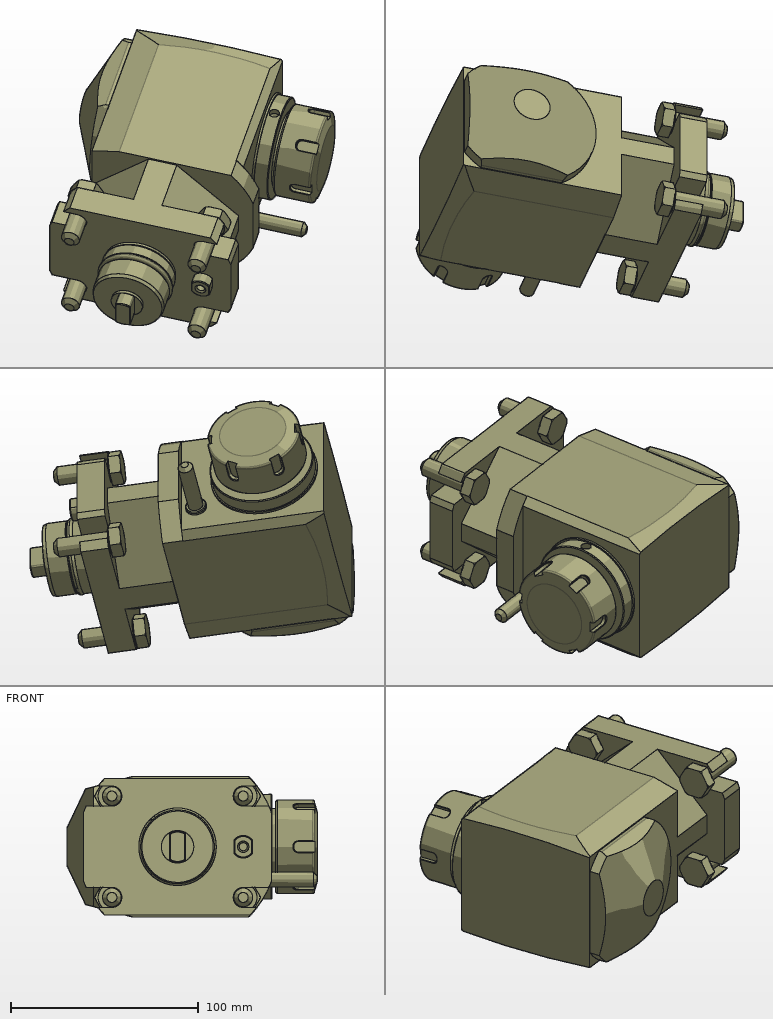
import cadquery as cq
import math


OVERALL_LENGTH = 166.5

OUTLINE_RADIUS = 53.3
PLATE_HALF_WIDTH = 50.1
PLATE_HALF_HEIGHT = 36.5
PLATE_THICKNESS = 15.0

NECK_LEFT = -39.0
NECK_RIGHT = 42.1
NECK_RIDGE_HALF_WIDTH = 7.8
NECK_SIDE_HALF_HEIGHT = 5.7

BLOCK_FRONT = 44.1
BLOCK_BACK = 132.2
BLOCK_LEFT = NECK_LEFT
BLOCK_RIGHT = 41.6
BLOCK_HALF_HEIGHT = 37.5
LEFT_BEVEL_WIDTH = 15.0
LEFT_BEVEL_DROP = 4.0
RIGHT_BEVEL_WIDTH = 4.0
RIGHT_BEVEL_DROP = 4.3
TAB_BACK = 55.1

BACK_SLOPE = 0.3
BACK_CONE_RADIUS = 526.1
BACK_CONE_START = 124.7
BACK_CONE_X = 6.7

SPINDLE_Y = 100.0
CAP_RADIUS = 40.0
CAP_TIP_RADIUS = 10.0
CAP_RIM_LEFT = -44.8
CAP_LEFT = -59.0
CAP_BACK = 131.5
CAP_FLAT_HALF_HEIGHT = 33.0

UNDERCUT_RADIUS = 28.8
UNDERCUT_RIGHT = 42.8
RING_RADIUS = 28.0
RING_RIGHT = 50.3
RING_CHAMFER = 0.5
SPANNER_HOLE_X = 46.1
SPANNER_HOLE_RADIUS = 2.7
SPANNER_HOLE_DEPTH = 3.3
NOSE_RADIUS = 20.5
NUT_LEFT = 52.1
NUT_RIGHT = 74.6
NUT_RADIUS = 25.0
NUT_REAR_CHAMFER = 1.0
NUT_FACE_RADIUS = 18.0
NUT_BEVEL_LENGTH = 2.0
NUT_RIM_FILLET = 1.0
NUT_SLOTS = 6
NUT_SLOT_WIDTH = 5.8
NUT_SLOT_CORNER = 2.5
NUT_SLOT_LEFT = 62.0
NUT_SLOT_FLARE_DEPTH = 0.5
NUT_SLOT_FLARE_ANGLE = 45
NUT_SLOT_FLOOR_RADIUS = 22.5

STOP_PIN_Y = 63.1
STOP_PIN_Z = -17.5
STOP_PIN_RADIUS = 4.0
STOP_PIN_RIGHT = 74.3
STOP_PIN_CHAMFER = 2.0
STOP_COLLAR_RADIUS = 5.7
STOP_COLLAR_RIGHT = 43.3
STOP_COLLAR_CHAMFER = 0.5

BOLT_X = 35.0
BOLT_Z = 27.0
BOLT_RADIUS = 5.0
BOLT_SLOT_RADIUS = 5.3
BOLT_TIP_Y = -15.2
BOLT_CHAMFER = 2.3
HEAD_ACROSS_FLATS = 16.2
HEAD_HEIGHT = 7.0
HEAD_CHAMFER = 0.7
WASHER_FACE_RADIUS = 7.3
WASHER_FACE_HEIGHT = 0.7

SHANK_RADIUS = 19.6
COLLAR_RADIUS = 20.1
COLLAR_CHAMFER_REAR_Y = -1.5
COLLAR_REAR_Y = -2.5
GROOVE_RADIUS = 18.6
GROOVE_REAR_Y = -8.2
GROOVE_FRONT_Y = -12.2
ORING_TUBE_RADIUS = 1.7
ORING_OUTER_RADIUS = 20.6
ORING_Y = GROOVE_REAR_Y - ORING_TUBE_RADIUS
SHANK_FRONT_Y = -24.8
SHANK_CHAMFER_LENGTH = 2.0
SHANK_CHAMFER_DEPTH = 0.7
SPIGOT_RADIUS = 8.7
SPIGOT_FRONT_Y = -26.5
TANG_FRONT_Y = BLOCK_BACK - OVERALL_LENGTH
TANG_HALF_WIDTH = 4.2
TANG_RADIUS = 8.3
TANG_FILLET = 1.0
TANG_CHAMFER = 0.5

COOLANT_X = BOLT_X
COOLANT_RADIUS = 6.0
COOLANT_HALF_WIDTH = 5.0
COOLANT_HEIGHT = 6.0
COOLANT_CHAMFER = 0.5
COOLANT_HOLE_RADIUS = 2.2
COOLANT_COUNTERSINK = 0.8


def box(x_range, y_range, z_range):
    """Box between the given limits along X, Y and Z."""
    limits = (x_range, y_range, z_range)
    sizes = [high - low for low, high in limits]
    corner = cq.Vector(*[low for low, high in limits])
    return cq.Workplane(cq.Solid.makeBox(*sizes, corner))


def rod_x(radius, x_range, y, z):
    """Cylinder along X."""
    left, right = x_range
    start = cq.Vector(left, y, z)
    return cq.Workplane(cq.Solid.makeCylinder(radius, right - left, start, cq.Vector(1, 0, 0)))


def rod_y(radius, y_range, x, z):
    """Cylinder along Y."""
    front, back = y_range
    start = cq.Vector(x, front, z)
    return cq.Workplane(cq.Solid.makeCylinder(radius, back - front, start, cq.Vector(0, 1, 0)))


def prism_y(points, y_range):
    """Prism along Y over an outline of (x, z) points."""
    front, back = y_range
    return cq.Workplane("XZ", origin=(0, front, 0)).polyline(points).close().extrude(front - back)


def plate():
    """Round-cornered mounting plate with four open bolt slots."""
    depth = (0, PLATE_THICKNESS)
    body = rod_y(OUTLINE_RADIUS, depth, 0, 0).intersect(
        box(
            (-PLATE_HALF_WIDTH, PLATE_HALF_WIDTH),
            depth,
            (-PLATE_HALF_HEIGHT, PLATE_HALF_HEIGHT),
        )
    )
    for side in (-1, 1):
        for z in (-BOLT_Z, BOLT_Z):
            x_range = sorted((side * BOLT_X, side * OUTLINE_RADIUS))
            body = body.cut(box(x_range, depth, (z - BOLT_SLOT_RADIUS, z + BOLT_SLOT_RADIUS)))
            body = body.cut(rod_y(BOLT_SLOT_RADIUS, depth, side * BOLT_X, z))
    return body


def neck():
    """Eight-sided neck with flat ridges at the top and bottom."""
    ridge = NECK_RIDGE_HALF_WIDTH
    top = PLATE_HALF_HEIGHT
    side = NECK_SIDE_HALF_HEIGHT
    outline = [
        (-ridge, top),
        (ridge, top),
        (NECK_RIGHT, side),
        (NECK_RIGHT, -side),
        (ridge, -top),
        (-ridge, -top),
        (NECK_LEFT, -side),
        (NECK_LEFT, side),
    ]
    return prism_y(outline, (PLATE_THICKNESS, BLOCK_FRONT))


def beveled_outline(left):
    """Points of the block outline, with the left bevels running on at their slope to the given x."""
    top = BLOCK_HALF_HEIGHT
    left_bevel_end = BLOCK_LEFT + LEFT_BEVEL_WIDTH
    left_height = top - (left_bevel_end - left) * LEFT_BEVEL_DROP / LEFT_BEVEL_WIDTH
    right_bevel_end = BLOCK_RIGHT - RIGHT_BEVEL_WIDTH
    right_height = top - RIGHT_BEVEL_DROP
    return [
        (left, -left_height),
        (left_bevel_end, -top),
        (right_bevel_end, -top),
        (BLOCK_RIGHT, -right_height),
        (BLOCK_RIGHT, right_height),
        (right_bevel_end, top),
        (left_bevel_end, top),
        (left, left_height),
    ]


def block():
    """Housing block with beveled sides and a sloped back."""
    body = prism_y(beveled_outline(BLOCK_LEFT), (BLOCK_FRONT, BLOCK_BACK))
    return body.intersect(back_cone(1)).intersect(back_cone(-1))


def tab():
    """Low tab at the block's front that reaches out to the plate's round outline."""
    depth = (BLOCK_FRONT, TAB_BACK)
    limits = box((0, PLATE_HALF_WIDTH), depth, (-BLOCK_HALF_HEIGHT, BLOCK_HALF_HEIGHT))
    return rod_y(OUTLINE_RADIUS, depth, 0, 0).intersect(limits)


def back_cone(side):
    """Wide cone along Y whose surface meets the block's flat face at the start of the back slope."""
    front_length = BACK_CONE_START - BLOCK_FRONT
    length = BLOCK_BACK - BLOCK_FRONT
    front_radius = BACK_CONE_RADIUS + front_length * BACK_SLOPE
    back_radius = front_radius - length * BACK_SLOPE
    z = side * (BLOCK_HALF_HEIGHT - BACK_CONE_RADIUS)
    start = cq.Vector(BACK_CONE_X, BLOCK_FRONT, z)
    return cq.Workplane(
        cq.Solid.makeCone(front_radius, back_radius, length, start, cq.Vector(0, 1, 0))
    )


def cap():
    """Conical cap, trimmed at the back and along the line of the block's bevels."""
    profile = [
        (CAP_LEFT, 0),
        (CAP_LEFT, CAP_TIP_RADIUS),
        (CAP_RIM_LEFT, CAP_RADIUS),
        (BLOCK_LEFT, CAP_RADIUS),
        (BLOCK_LEFT, 0),
    ]
    cone = (
        cq.Workplane("XY", origin=(0, SPINDLE_Y, 0))
        .polyline(profile)
        .close()
        .revolve(360, (0, 0, 0), (1, 0, 0))
    )
    depth = (SPINDLE_Y - CAP_RADIUS, CAP_BACK)
    flats = box((CAP_LEFT, BLOCK_LEFT), depth, (-CAP_FLAT_HALF_HEIGHT, CAP_FLAT_HALF_HEIGHT))
    bevels = prism_y(beveled_outline(CAP_LEFT), depth)
    return cone.intersect(flats).intersect(bevels)


def spindle_ring():
    """Threaded ring with its pointed spanner hole, and the spindle nose that carries the nut."""
    undercut = rod_x(UNDERCUT_RADIUS, (BLOCK_RIGHT, UNDERCUT_RIGHT), SPINDLE_Y, 0)
    ring = rod_x(RING_RADIUS, (UNDERCUT_RIGHT, RING_RIGHT), SPINDLE_Y, 0)
    ring = ring.faces(">X").chamfer(RING_CHAMFER)
    nose = rod_x(NOSE_RADIUS, (RING_RIGHT, NUT_LEFT), SPINDLE_Y, 0)
    hole_profile = [
        (0, RING_RADIUS),
        (SPANNER_HOLE_RADIUS, RING_RADIUS),
        (SPANNER_HOLE_RADIUS, RING_RADIUS - SPANNER_HOLE_DEPTH),
        (0, RING_RADIUS - SPANNER_HOLE_DEPTH - SPANNER_HOLE_RADIUS),
    ]
    hole = (
        cq.Workplane("XZ", origin=(SPANNER_HOLE_X, SPINDLE_Y, 0))
        .polyline(hole_profile)
        .close()
        .revolve(360, (0, 0, 0), (0, 1, 0))
    )
    return undercut.union(ring).union(nose).cut(hole)


def stop_pin():
    """Pin with a chamfered end and a collar at its root."""
    pin = rod_x(STOP_PIN_RADIUS, (BLOCK_RIGHT, STOP_PIN_RIGHT), STOP_PIN_Y, STOP_PIN_Z)
    pin = pin.faces(">X").chamfer(STOP_PIN_CHAMFER)
    collar = rod_x(STOP_COLLAR_RADIUS, (BLOCK_RIGHT, STOP_COLLAR_RIGHT), STOP_PIN_Y, STOP_PIN_Z)
    collar = collar.faces(">X").chamfer(STOP_COLLAR_CHAMFER)
    return pin.union(collar)


def bolt(x, z):
    """Hexagon bolt through the plate, with two corners of its head pointing along X."""
    shaft = rod_y(BOLT_RADIUS, (BOLT_TIP_Y, PLATE_THICKNESS), x, z).faces("<Y").chamfer(BOLT_CHAMFER)
    head_front = PLATE_THICKNESS + WASHER_FACE_HEIGHT
    head_back = PLATE_THICKNESS + HEAD_HEIGHT
    washer_face = rod_y(WASHER_FACE_RADIUS, (PLATE_THICKNESS, head_front), x, z)
    corner_radius = HEAD_ACROSS_FLATS / 2 / math.cos(math.pi / 6)
    head = (
        cq.Workplane("XZ", origin=(x, head_front, z))
        .polygon(6, 2 * corner_radius)
        .extrude(head_front - head_back)
    )
    crown = rod_y(corner_radius, (head_front, head_back), x, z).faces(">Y").chamfer(HEAD_CHAMFER)
    head = head.intersect(crown)
    return shaft.union(washer_face).union(head)


def shank():
    """Round shank with its collar, O-ring groove and spigot."""
    profile = [
        (0, 0),
        (SHANK_RADIUS, 0),
        (SHANK_RADIUS, COLLAR_CHAMFER_REAR_Y),
        (COLLAR_RADIUS, COLLAR_REAR_Y),
        (COLLAR_RADIUS, GROOVE_REAR_Y),
        (GROOVE_RADIUS, GROOVE_REAR_Y),
        (GROOVE_RADIUS, GROOVE_FRONT_Y),
        (SHANK_RADIUS, GROOVE_FRONT_Y),
        (SHANK_RADIUS, SHANK_FRONT_Y + SHANK_CHAMFER_LENGTH),
        (SHANK_RADIUS - SHANK_CHAMFER_DEPTH, SHANK_FRONT_Y),
        (SPIGOT_RADIUS, SHANK_FRONT_Y),
        (SPIGOT_RADIUS, SPIGOT_FRONT_Y),
        (0, SPIGOT_FRONT_Y),
    ]
    return cq.Workplane("XY").polyline(profile).close().revolve(360, (0, 0, 0), (0, 1, 0))


def oring():
    """O-ring that stands out of the shank's groove."""
    ring_radius = ORING_OUTER_RADIUS - ORING_TUBE_RADIUS
    center = cq.Vector(0, ORING_Y, 0)
    return cq.Workplane(cq.Solid.makeTorus(ring_radius, ORING_TUBE_RADIUS, center, cq.Vector(0, 1, 0)))


def tang():
    """Driving tang with two flat sides, round ends and rounded corners."""
    depth = (TANG_FRONT_Y, SPIGOT_FRONT_Y)
    flats = box((-TANG_HALF_WIDTH, TANG_HALF_WIDTH), depth, (-TANG_RADIUS, TANG_RADIUS))
    blade = rod_y(TANG_RADIUS, depth, 0, 0).intersect(flats)
    return blade.edges("|Y").edges("<X or >X").fillet(TANG_FILLET).faces("<Y").chamfer(TANG_CHAMFER)


def coolant_boss():
    """Round boss with two flat sides and a countersunk blind coolant hole."""
    depth = (-COOLANT_HEIGHT, 0)
    flats = box(
        (COOLANT_X - COOLANT_HALF_WIDTH, COOLANT_X + COOLANT_HALF_WIDTH),
        depth,
        (-COOLANT_RADIUS, COOLANT_RADIUS),
    )
    boss = rod_y(COOLANT_RADIUS, depth, COOLANT_X, 0).intersect(flats)
    boss = boss.faces("<Y").chamfer(COOLANT_CHAMFER)
    boss = boss.cut(rod_y(COOLANT_HOLE_RADIUS, depth, COOLANT_X, 0))
    rims = boss.faces("<Y").edges("%CIRCLE")
    return rims.edges(cq.selectors.RadiusNthSelector(0)).chamfer(COOLANT_COUNTERSINK)


def make_housing():
    """Housing with everything that is fixed to it."""
    body = plate().union(neck()).union(block()).union(tab()).union(cap())
    body = body.union(spindle_ring()).union(stop_pin())
    for x in (-BOLT_X, BOLT_X):
        for z in (-BOLT_Z, BOLT_Z):
            body = body.union(bolt(x, z))
    return body.union(shank()).union(oring()).union(tang()).union(coolant_boss())


def nut_slot(angle):
    """Cutter for one spanner slot with a flared mouth, turned about the spindle axis."""
    length = NUT_RIGHT - NUT_SLOT_LEFT
    outline = cq.Sketch().rect(2 * length, NUT_SLOT_WIDTH).vertices().fillet(NUT_SLOT_CORNER)
    flare_radius = NUT_RADIUS - NUT_SLOT_FLARE_DEPTH
    pocket = (
        cq.Workplane("XY", origin=(NUT_RIGHT, 0, NUT_SLOT_FLOOR_RADIUS))
        .placeSketch(outline)
        .extrude(flare_radius - NUT_SLOT_FLOOR_RADIUS)
    )
    flare = (
        cq.Workplane("XY", origin=(NUT_RIGHT, 0, flare_radius))
        .placeSketch(outline)
        .extrude(NUT_SLOT_FLARE_DEPTH, taper=-NUT_SLOT_FLARE_ANGLE)
    )
    cutter = pocket.union(flare)
    return cutter.rotate((0, 0, 0), (1, 0, 0), angle).translate((0, SPINDLE_Y, 0))


def make_collet_nut():
    """Collet nut with a beveled face and spanner slots around its rounded rim."""
    profile = [
        (NUT_LEFT, 0),
        (NUT_LEFT, NUT_RADIUS - NUT_REAR_CHAMFER),
        (NUT_LEFT + NUT_REAR_CHAMFER, NUT_RADIUS),
        (NUT_RIGHT - NUT_BEVEL_LENGTH, NUT_RADIUS),
        (NUT_RIGHT, NUT_FACE_RADIUS),
        (NUT_RIGHT, 0),
    ]
    nut = (
        cq.Workplane("XY", origin=(0, SPINDLE_Y, 0))
        .polyline(profile)
        .close()
        .revolve(360, (0, 0, 0), (1, 0, 0))
    )
    widest_circles = nut.edges("%CIRCLE").edges(cq.selectors.RadiusNthSelector(-1))
    nut = widest_circles.edges(">X").fillet(NUT_RIM_FILLET)
    pitch = 360 / NUT_SLOTS
    for index in range(NUT_SLOTS):
        nut = nut.cut(nut_slot((index + 0.5) * pitch))
    return nut


housing = make_housing()
collet_nut = make_collet_nut()
result = cq.Compound.makeCompound([housing.val(), collet_nut.val()])